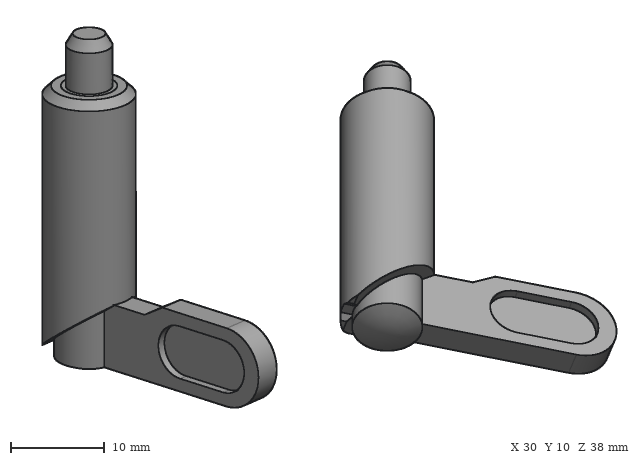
import cadquery as cq
import math

HOUSING_DIA = 10.0
HOUSING_BOTTOM = 2.0
HOUSING_TOP = 32.0
TOP_CHAMFER = 0.95
NOTCH_BOTTOM_WIDTH = 2.9
NOTCH_TOP_WIDTH = 1.35
NOTCH_HEIGHT = 0.45
RAMP_ANGLE = 36.0
RAMP_END_X = 4.85

CORE_DIA = 7.5
NECK_DIA = 6.0
PIN_DIA = 5.0
PIN_TOP = 38.0
TIP_DIA = 3.5
TIP_HEIGHT = 1.3
DOME_HEIGHT = 1.0

LEVER_THICKNESS = 3.0
LEVER_HEIGHT = 9.0
LEVER_END_X = 25.0
STEP_DROP = 1.5
STEP_START_X = 9.05
STEP_END_X = 11.55
POCKET_LENGTH = 12.0
POCKET_HEIGHT = 6.0
POCKET_CENTER_X = 17.0
POCKET_DEPTH = 1.0

housing_radius = HOUSING_DIA / 2
core_radius = CORE_DIA / 2
lever_bottom = DOME_HEIGHT
lever_top = lever_bottom + LEVER_HEIGHT
lever_step = lever_top - STEP_DROP
lever_end_radius = LEVER_HEIGHT / 2
lever_mid_z = lever_bottom + lever_end_radius
ramp_run = (lever_step - HOUSING_BOTTOM) / math.tan(math.radians(RAMP_ANGLE))
ramp_start_x = RAMP_END_X - ramp_run
core_top = (HOUSING_BOTTOM + HOUSING_TOP) / 2


def make_core():
    """Revolve the domed core, the neck that fills the top bore, and the pointed pin."""
    dome_radius = (core_radius**2 + DOME_HEIGHT**2) / (2 * DOME_HEIGHT)
    arc_mid_x = core_radius / 2
    arc_mid_z = dome_radius - math.sqrt(dome_radius**2 - arc_mid_x**2)
    return (
        cq.Workplane("XZ")
        .threePointArc((arc_mid_x, arc_mid_z), (core_radius, DOME_HEIGHT))
        .lineTo(core_radius, core_top)
        .lineTo(NECK_DIA / 2, core_top)
        .lineTo(NECK_DIA / 2, HOUSING_TOP)
        .lineTo(PIN_DIA / 2, HOUSING_TOP)
        .lineTo(PIN_DIA / 2, PIN_TOP - TIP_HEIGHT)
        .lineTo(TIP_DIA / 2, PIN_TOP)
        .lineTo(0, PIN_TOP)
        .close()
        .revolve(360, (0, 0, 0), (0, 1, 0))
    )


def make_lever():
    """Extrude the lever outline and sink the rounded finger pocket into its -Y face."""
    end_center_x = LEVER_END_X - lever_end_radius
    lever = (
        cq.Workplane("XZ")
        .moveTo(0, lever_bottom)
        .lineTo(end_center_x, lever_bottom)
        .threePointArc((LEVER_END_X, lever_mid_z), (end_center_x, lever_top))
        .lineTo(STEP_END_X, lever_top)
        .lineTo(STEP_START_X, lever_step)
        .lineTo(0, lever_step)
        .close()
        .extrude(LEVER_THICKNESS / 2, both=True)
    )
    pocket = (
        cq.Workplane("XZ", origin=(POCKET_CENTER_X, -LEVER_THICKNESS / 2, lever_mid_z))
        .slot2D(POCKET_LENGTH, POCKET_HEIGHT)
        .extrude(-POCKET_DEPTH)
    )
    return lever.cut(pocket)


def make_plunger():
    return make_core().union(make_lever())


def make_ramp_cut():
    """Wedge below the sloped lower end of the housing, level beyond the top of the slope."""
    return (
        cq.Workplane("XZ")
        .moveTo(ramp_start_x, HOUSING_BOTTOM)
        .lineTo(RAMP_END_X, lever_step)
        .lineTo(HOUSING_DIA, lever_step)
        .lineTo(HOUSING_DIA, HOUSING_BOTTOM)
        .close()
        .extrude(HOUSING_DIA, both=True)
    )


def make_notch_cut():
    """Shallow flared notch through the -X side of the lower rim of the housing."""
    return (
        cq.Workplane("YZ")
        .moveTo(-NOTCH_BOTTOM_WIDTH / 2, HOUSING_BOTTOM)
        .lineTo(-NOTCH_TOP_WIDTH / 2, HOUSING_BOTTOM + NOTCH_HEIGHT)
        .lineTo(NOTCH_TOP_WIDTH / 2, HOUSING_BOTTOM + NOTCH_HEIGHT)
        .lineTo(NOTCH_BOTTOM_WIDTH / 2, HOUSING_BOTTOM)
        .close()
        .extrude(-HOUSING_DIA)
    )


def make_housing(plunger):
    """Chamfered sleeve whose stepped bore and lever slot match the plunger."""
    blank = (
        cq.Workplane("XY", origin=(0, 0, HOUSING_BOTTOM))
        .circle(housing_radius)
        .extrude(HOUSING_TOP - HOUSING_BOTTOM)
        .faces(">Z")
        .chamfer(TOP_CHAMFER)
    )
    return blank.cut(make_ramp_cut()).cut(make_notch_cut()).cut(plunger)


plunger = make_plunger()
housing = make_housing(plunger)
result = cq.Compound.makeCompound([*housing.solids().vals(), *plunger.solids().vals()])